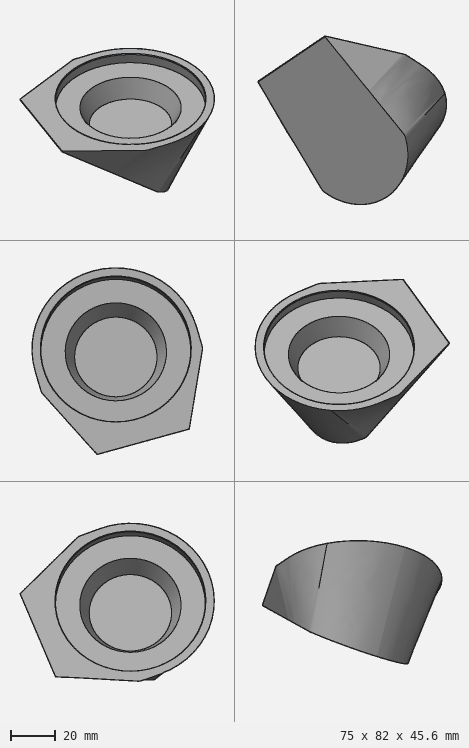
import cadquery as cq
import math

length = 82.0
top_radius = 75.0 / 2
front_y = top_radius - length
front_half_width = 21.5
front_lip = 0.5
shoulder_y = -10.2
shoulder_round = 4.9
cone_start_y = 21.1

height = 45.6
lowest_y = 15.25
run = lowest_y - front_y
drop = height - front_lip
slope_length = math.hypot(run, drop)
base_half_width = 26.2
base_corner_width = 25.7

flank_end = 31.3
straight_side_end = 38.0
side_end = 55.4
back_arc_start = 58.05
base_radius = 28.0

narrow_end = 0.2

recess_diameter = 67.0
recess_depth = 5.0
rim_width = 0.25
rim_depth = 0.5
bowl_top_diameter = 45.3
bowl_floor_diameter = 36.8
bowl_depth = 9.0

base_plane = cq.Plane(
    origin=(0, front_y, -front_lip), xDir=(1, 0, 0), normal=(0, drop, run)
)


def base_point(x, along):
    return base_plane.toWorldCoords((x, along, 0))


def flank_base_point(along):
    """Point on the straight side edge of the underside."""
    widening = (base_half_width - front_half_width) / side_end
    return base_point(front_half_width + widening * along, along)


def circle_arc(radius, start, end):
    """Arc in the top face, about the recess axis, between two angles."""
    def point(angle):
        return cq.Vector(radius * math.cos(angle), radius * math.sin(angle), 0)

    return cq.Edge.makeThreePointArc(point(start), point((start + end) / 2), point(end))


def top_edges():
    """Right half of the top outline, from the front edge to the back."""
    flank_angle = math.atan2(shoulder_y - front_y, top_radius - front_half_width)
    turn = math.pi / 2 - flank_angle
    trim = shoulder_round * math.tan(turn / 2)
    flank_x = top_radius - trim * math.cos(flank_angle)
    flank_y = shoulder_y - trim * math.sin(flank_angle)
    front = cq.Vector(front_half_width, front_y, 0)
    flank_top = cq.Vector(flank_x, flank_y, 0)
    side_front = cq.Vector(top_radius, shoulder_y + trim, 0)
    side_back = cq.Vector(top_radius, 0, 0)
    cone_angle = math.asin(cone_start_y / top_radius)
    blend_angle = cone_angle - narrow_end / top_radius
    flank_direction = flank_top - front
    return [
        cq.Edge.makeLine(front, flank_top),
        cq.Edge.makeTangentArc(flank_top, flank_direction, side_front),
        cq.Edge.makeLine(side_front, side_back),
        circle_arc(top_radius, 0, blend_angle),
        circle_arc(top_radius, blend_angle, cone_angle),
        circle_arc(top_radius, cone_angle, math.pi / 2),
    ]


def base_edges():
    """Right half of the underside outline, matching the top edges one by one."""
    stations = [0, flank_end, flank_end + narrow_end, straight_side_end, side_end]
    points = [flank_base_point(along) for along in stations]
    edges = [cq.Edge.makeLine(a, b) for a, b in zip(points, points[1:])]
    corner = base_point(base_corner_width, back_arc_start)
    edges.append(cq.Edge.makeTangentArc(points[-1], points[-1] - points[0], corner))
    back_angle = math.asin(base_corner_width / base_radius) / 2
    middle = base_point(
        base_radius * math.sin(back_angle),
        slope_length - base_radius * (1 - math.cos(back_angle)),
    )
    edges.append(cq.Edge.makeThreePointArc(corner, middle, base_point(0, slope_length)))
    return edges


def half_body():
    """Half of the solid at +X, closed by a flat face on the plane of symmetry."""
    top = top_edges()
    base = base_edges()
    top_front = cq.Vector(0, front_y, 0)
    base_front = base_point(0, 0)
    top_back = top[-1].endPoint()
    base_back = base[-1].endPoint()

    def line(start, end):
        return cq.Edge.makeLine(start, end)

    top_front_edge = line(top_front, top[0].startPoint())
    base_front_edge = line(base_front, base[0].startPoint())
    top_middle = line(top_back, top_front)
    base_middle = line(base_back, base_front)
    lip_middle = line(top_front, base_front)
    lip_side = line(top[0].startPoint(), base[0].startPoint())
    back_middle = line(top_back, base_back)

    flat_outlines = [
        [top_front_edge, *top, top_middle],
        [base_front_edge, *base, base_middle],
        [top_front_edge, lip_side, base_front_edge, lip_middle],
        [top_middle, lip_middle, base_middle, back_middle],
    ]
    faces = [
        cq.Face.makeFromWires(cq.Wire.assembleEdges(cq.Wire.combine(edges)[0].Edges()))
        for edges in flat_outlines
    ]
    faces += [cq.Face.makeRuledSurface(upper, lower) for upper, lower in zip(top, base)]
    solid = cq.Solid.makeSolid(cq.Shell.makeShell(faces))
    return cq.Workplane(solid.fix())


def recess():
    """Chamfered round recess with a tapered bowl in its floor."""
    recess_radius = recess_diameter / 2
    floor_z = -recess_depth - bowl_depth
    return (
        cq.Workplane("XZ")
        .moveTo(0, 0)
        .lineTo(recess_radius + rim_width, 0)
        .lineTo(recess_radius, -rim_depth)
        .lineTo(recess_radius, -recess_depth)
        .lineTo(bowl_top_diameter / 2, -recess_depth)
        .lineTo(bowl_floor_diameter / 2, floor_z)
        .lineTo(0, floor_z)
        .close()
        .revolve(360, (0, 0, 0), (0, 1, 0))
    )


right_half = half_body()
body = right_half.union(right_half.mirror("YZ"))
result = body.cut(recess())